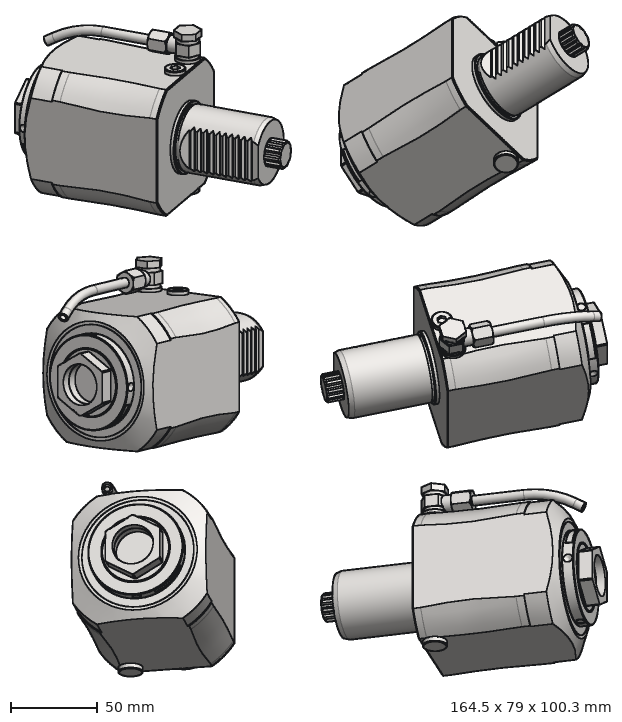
import cadquery as cq
import math


TOTAL_LENGTH = 164.5
HEX_HALF_STEP = 30

BLOCK_SIDE = 79.0
BLOCK_FRONT_X = 14.8
BLOCK_REAR_X = 101.2
NOSE_RADIUS = 34.9
CONE_END_X = 21.0
LAND_RADIUS = 46.9
LAND_END_X = 34.4
CORNER_RADIUS = 47.4
WAIST_RADIUS = 46.5
WAIST_START_X = 39.3
WAIST_END_X = 96.2
REAR_CHAMFER = 0.7
SEAT_RADIUS = 32.9
SEAT_DEPTH = 0.3
TOP_Z = BLOCK_SIDE / 2

FLANGE_RADIUS = 21.5
FLANGE_END_X = 103.6
FLANGE_CHAMFER = 0.5
RELIEF_RADIUS = 19.5
RELIEF_END_X = 105.1
SHANK_RADIUS = 20.0
SHANK_END_X = 154.5
SHANK_TAPER_LENGTH = 3.1
SHANK_TAPER_DEPTH = 1.0

FLAT_OFFSET = 16.1
FLAT_START_X = 110.5
TOOTH_GROOVES = 10
FIRST_GROOVE_X = 113.2
LAST_GROOVE_X = 149.2
TOOTH_PITCH = (LAST_GROOVE_X - FIRST_GROOVE_X) / (TOOTH_GROOVES - 1)
GROOVE_DEPTH = 1.5
GROOVE_HALF_WIDTH = 1.4

TOP_PLUG_X = 94.3
TOP_PLUG_RADIUS = 6.1
TOP_PLUG_HEIGHT = 2.6
SOCKET_FLATS = 5.0
SOCKET_DEPTH = 2.0
BOTTOM_PLUG_RADIUS = 7.0
BOTTOM_PLUG_HEIGHT = 3.1
PLUG_CHAMFER = 0.5

HEX_FLATS = 32.0
HEX_TURNED_RADIUS = 18.3
COLLAR_FRONT_X = 8.0
COLLAR_RADIUS = 28.0
COLLAR_CHAMFER = 0.5
COLLAR_MID_X = (COLLAR_FRONT_X + BLOCK_FRONT_X) / 2
RING_GROOVE_RADIUS = 20.2
RING_GROOVE_WIDTH = 0.7
RING_GROOVE_DEPTH = 0.5
MOUTH_RADIUS = 12.0
MOUTH_DEPTH = 5.3
NOSE_BORE_RADIUS = 11.8
NOSE_BORE_DEPTH = 11.0
SPOT_RADIUS = 2.6
CONE_SPOT_DEPTH = 1.5
FLAT_SPOT_DEPTH = 0.5
RIM_GROOVE_RADIUS = 27.5
RIM_GROOVE_WIDTH = 4.0
RIM_GROOVE_ANGLE = 44.0
SHAFT_RADIUS = 8.4
SPLINE_ROOT_RADIUS = 7.0
SPLINE_TEETH = 10
SPLINE_GAP_WIDTH = 4.0
SPLINE_FLOOR_WIDTH = 1.3
SPLINE_CHAMFER = 1.0

FITTING_X = 93.0
FITTING_Y = 20.0
FITTING_FLATS = 14.0
FITTING_TOP_Z = 57.7
CAP_BOTTOM_Z = 53.5
BANJO_TOP_Z = 51.0
BANJO_BOTTOM_Z = 43.6
NECK_RADIUS = 6.7
FOOT_RADIUS = 7.4
FOOT_HEIGHT = 2.0
TUBE_Z = 47.2
STUB_RADIUS = 5.1
NUT_FLATS = 12.0
NUT_FRONT_X = 70.0
NUT_REAR_X = 82.0
NUT_CHAMFER_RADIUS = 6.1
TUBE_RADIUS = 3.0
TUBE_BORE_RADIUS = 1.8
BEND_START_X = 39.3
BEND_RADIUS = 56.3
BEND_ANGLE = 31.4
BEND_TILT = 21.2
TIP_LENGTH = 5.6


def hex_corner_diameter(flats):
    """Across-corners size of a hexagon given across its flats."""
    return flats / math.cos(math.pi / 6)


def cylinder_x(radius, start, end):
    return cq.Workplane("YZ", origin=(start, 0, 0)).circle(radius).extrude(end - start)


def cylinder_z(radius, x, y, start, end):
    return cq.Workplane("XY", origin=(x, y, start)).circle(radius).extrude(end - start)


def hex_z(flats, x, y, start, end, turn):
    """Upright hexagonal prism; turn = 0 puts a corner on the X direction."""
    prism = cq.Workplane("XY").polygon(6, hex_corner_diameter(flats)).extrude(end - start)
    return prism.rotate((0, 0, 0), (0, 0, 1), turn).translate((x, y, start))


def revolve_x(profile):
    """Turn a closed X-radius outline about the X axis."""
    return profile.revolve(360, (0, 0, 0), (1, 0, 0))


def make_block():
    turned = revolve_x(
        cq.Workplane("XY")
        .moveTo(BLOCK_FRONT_X, 0)
        .lineTo(BLOCK_FRONT_X, NOSE_RADIUS)
        .lineTo(CONE_END_X, LAND_RADIUS)
        .lineTo(LAND_END_X, LAND_RADIUS)
        .lineTo(LAND_END_X, CORNER_RADIUS)
        .lineTo(WAIST_START_X, CORNER_RADIUS)
        .threePointArc(((WAIST_START_X + WAIST_END_X) / 2, WAIST_RADIUS), (WAIST_END_X, CORNER_RADIUS))
        .lineTo(BLOCK_REAR_X, CORNER_RADIUS)
        .lineTo(BLOCK_REAR_X, 0)
        .close()
    )
    bar = (
        cq.Workplane("YZ", origin=(BLOCK_FRONT_X, 0, 0))
        .rect(BLOCK_SIDE, BLOCK_SIDE)
        .extrude(BLOCK_REAR_X - BLOCK_FRONT_X)
    )
    block = bar.intersect(turned).faces(">X").edges().chamfer(REAR_CHAMFER)
    return block.cut(cylinder_x(SEAT_RADIUS, BLOCK_FRONT_X, BLOCK_FRONT_X + SEAT_DEPTH))


def make_shank():
    shank = revolve_x(
        cq.Workplane("XY")
        .moveTo(BLOCK_REAR_X, 0)
        .lineTo(BLOCK_REAR_X, FLANGE_RADIUS)
        .lineTo(FLANGE_END_X - FLANGE_CHAMFER, FLANGE_RADIUS)
        .lineTo(FLANGE_END_X, FLANGE_RADIUS - FLANGE_CHAMFER)
        .lineTo(FLANGE_END_X, RELIEF_RADIUS)
        .lineTo(RELIEF_END_X, SHANK_RADIUS)
        .lineTo(SHANK_END_X - SHANK_TAPER_LENGTH, SHANK_RADIUS)
        .lineTo(SHANK_END_X, SHANK_RADIUS - SHANK_TAPER_DEPTH)
        .lineTo(SHANK_END_X, 0)
        .close()
    )
    return shank.cut(make_serration_cutter())


def make_serration_cutter():
    """Everything beyond the serrated flat: a 45-degree run-in, then the V grooves."""
    ramp = SHANK_RADIUS - FLAT_OFFSET
    outline = (
        cq.Workplane("XY")
        .moveTo(FLAT_START_X - ramp, -SHANK_RADIUS)
        .lineTo(FLAT_START_X, -FLAT_OFFSET)
    )
    for index in range(TOOTH_GROOVES):
        groove_x = FIRST_GROOVE_X + index * TOOTH_PITCH
        outline = (
            outline.lineTo(groove_x - GROOVE_HALF_WIDTH, -FLAT_OFFSET)
            .lineTo(groove_x, -FLAT_OFFSET + GROOVE_DEPTH)
            .lineTo(groove_x + GROOVE_HALF_WIDTH, -FLAT_OFFSET)
        )
    outline = outline.lineTo(SHANK_END_X, -FLAT_OFFSET).lineTo(SHANK_END_X, -SHANK_RADIUS).close()
    return outline.extrude(SHANK_RADIUS, both=True)


def make_top_plug():
    top = TOP_Z + TOP_PLUG_HEIGHT
    plug = cylinder_z(TOP_PLUG_RADIUS, TOP_PLUG_X, 0, TOP_Z, top).faces(">Z").edges().chamfer(PLUG_CHAMFER)
    return plug.cut(hex_z(SOCKET_FLATS, TOP_PLUG_X, 0, top - SOCKET_DEPTH, top, HEX_HALF_STEP))


def make_bottom_plug():
    plug = cylinder_z(BOTTOM_PLUG_RADIUS, FITTING_X, FITTING_Y, -TOP_Z - BOTTOM_PLUG_HEIGHT, -TOP_Z)
    return plug.faces("<Z").edges().chamfer(PLUG_CHAMFER)


def make_housing():
    solid = make_block().union(make_shank()).union(make_top_plug()).union(make_bottom_plug())
    return solid.cut(cylinder_x(SHAFT_RADIUS, BLOCK_FRONT_X, SHANK_END_X))


def make_hex_nose():
    """Hexagon with two flats facing +Y and -Y and its corners turned off."""
    prism = (
        cq.Workplane("YZ")
        .polygon(6, hex_corner_diameter(HEX_FLATS))
        .extrude(COLLAR_FRONT_X)
        .rotate((0, 0, 0), (1, 0, 0), HEX_HALF_STEP)
    )
    return prism.intersect(cylinder_x(HEX_TURNED_RADIUS, 0, COLLAR_FRONT_X))


def make_collar():
    """Collar with spots on its four sides and two rim grooves between them, repeated half a turn apart."""
    collar = cylinder_x(COLLAR_RADIUS, COLLAR_FRONT_X, BLOCK_FRONT_X + SEAT_DEPTH)
    collar = collar.edges().chamfer(COLLAR_CHAMFER)
    groove = (
        cq.Workplane("YZ", origin=(COLLAR_FRONT_X, 0, 0))
        .circle(RING_GROOVE_RADIUS)
        .circle(RING_GROOVE_RADIUS - RING_GROOVE_WIDTH)
        .extrude(RING_GROOVE_DEPTH)
    )
    collar = collar.cut(groove)
    for side in (0, 180):
        collar = collar.cut(make_flat_spot().rotate((0, 0, 0), (1, 0, 0), side))
        collar = collar.cut(make_cone_spot().rotate((0, 0, 0), (1, 0, 0), side + 90))
        collar = collar.cut(make_rim_groove().rotate((0, 0, 0), (1, 0, 0), side - 45))
    return collar


def make_flat_spot():
    """Shallow round spot, cut radially at the +Z side of the rim."""
    return cylinder_z(SPOT_RADIUS, COLLAR_MID_X, 0, COLLAR_RADIUS - FLAT_SPOT_DEPTH, COLLAR_RADIUS)


def make_cone_spot():
    """Conical spot, cut radially at the +Z side of the rim."""
    profile = (
        cq.Workplane("XZ", origin=(COLLAR_MID_X, 0, COLLAR_RADIUS))
        .lineTo(SPOT_RADIUS, 0)
        .lineTo(0, -CONE_SPOT_DEPTH)
        .close()
    )
    return profile.revolve(360, (0, 0, 0), (0, 1, 0))


def make_rim_groove():
    """Groove with a floor concentric with the rim, centred on the +Z side."""
    half_angle = math.radians(RIM_GROOVE_ANGLE / 2)
    outer = 2 * COLLAR_RADIUS
    sector = (
        cq.Workplane("YZ", origin=(COLLAR_MID_X, 0, 0))
        .lineTo(-outer * math.sin(half_angle), outer * math.cos(half_angle))
        .lineTo(outer * math.sin(half_angle), outer * math.cos(half_angle))
        .close()
        .extrude(RIM_GROOVE_WIDTH / 2, both=True)
    )
    return sector.cut(cylinder_x(RIM_GROOVE_RADIUS, COLLAR_FRONT_X, BLOCK_FRONT_X))


def make_splined_shaft():
    shaft = cylinder_x(SHAFT_RADIUS, BLOCK_FRONT_X, TOTAL_LENGTH).faces(">X").edges().chamfer(SPLINE_CHAMFER)
    gap = (
        cq.Workplane("YZ", origin=(SHANK_END_X, 0, 0))
        .moveTo(-SPLINE_FLOOR_WIDTH / 2, SPLINE_ROOT_RADIUS)
        .lineTo(SPLINE_FLOOR_WIDTH / 2, SPLINE_ROOT_RADIUS)
        .lineTo(SPLINE_GAP_WIDTH / 2, SHAFT_RADIUS)
        .lineTo(-SPLINE_GAP_WIDTH / 2, SHAFT_RADIUS)
        .close()
        .extrude(TOTAL_LENGTH - SHANK_END_X)
    )
    for index in range(SPLINE_TEETH):
        shaft = shaft.cut(gap.rotate((0, 0, 0), (1, 0, 0), index * 360 / SPLINE_TEETH))
    return shaft


def make_spindle():
    solid = make_collar().union(make_hex_nose()).union(make_splined_shaft())
    mouth = cylinder_x(MOUTH_RADIUS, 0, MOUTH_DEPTH)
    return solid.cut(mouth).cut(cylinder_x(NOSE_BORE_RADIUS, 0, NOSE_BORE_DEPTH))


def make_fitting():
    """Hollow-bolt cap, hexagonal banjo and round foot standing on the block."""
    neck = cylinder_z(NECK_RADIUS, FITTING_X, FITTING_Y, TOP_Z, CAP_BOTTOM_Z)
    foot = cylinder_z(FOOT_RADIUS, FITTING_X, FITTING_Y, TOP_Z, TOP_Z + FOOT_HEIGHT)
    banjo = hex_z(FITTING_FLATS, FITTING_X, FITTING_Y, BANJO_BOTTOM_Z, BANJO_TOP_Z, 0)
    cap = hex_z(FITTING_FLATS, FITTING_X, FITTING_Y, CAP_BOTTOM_Z, FITTING_TOP_Z, HEX_HALF_STEP)
    return neck.union(foot).union(banjo).union(cap)


def make_tube_nut():
    """Hexagonal nut on the tube, with both ends turned to a 45-degree chamfer."""
    corner_radius = hex_corner_diameter(NUT_FLATS) / 2
    chamfer_length = corner_radius - NUT_CHAMFER_RADIUS
    prism = (
        cq.Workplane("YZ", origin=(NUT_FRONT_X, 0, 0))
        .polygon(6, 2 * corner_radius)
        .extrude(NUT_REAR_X - NUT_FRONT_X)
        .rotate((0, 0, 0), (1, 0, 0), HEX_HALF_STEP)
    )
    envelope = cylinder_x(corner_radius, NUT_FRONT_X, NUT_REAR_X).edges().chamfer(chamfer_length)
    return prism.intersect(envelope)


def make_tube():
    """Tube with a downward bend and a straight bored tip, the bend plane tilted toward -Y."""
    angle = math.radians(BEND_ANGLE)
    bend_point = (
        BEND_START_X - BEND_RADIUS * math.sin(angle / 2),
        -BEND_RADIUS * (1 - math.cos(angle / 2)),
    )
    bend_end = (
        BEND_START_X - BEND_RADIUS * math.sin(angle),
        -BEND_RADIUS * (1 - math.cos(angle)),
    )
    tip = (bend_end[0] - TIP_LENGTH * math.cos(angle), bend_end[1] - TIP_LENGTH * math.sin(angle))
    path = (
        cq.Workplane("XZ")
        .moveTo(NUT_FRONT_X, 0)
        .lineTo(BEND_START_X, 0)
        .threePointArc(bend_point, bend_end)
        .lineTo(*tip)
    )
    tube = cq.Workplane("YZ", origin=(NUT_FRONT_X, 0, 0)).circle(TUBE_RADIUS).sweep(path)
    inward = cq.Plane(
        origin=(tip[0], 0, tip[1]),
        xDir=(0, 1, 0),
        normal=(math.cos(angle), 0, math.sin(angle)),
    )
    tube = tube.cut(cq.Workplane(inward).circle(TUBE_BORE_RADIUS).extrude(TIP_LENGTH))
    return tube.rotate((0, 0, 0), (1, 0, 0), -BEND_TILT)


def make_coolant_line():
    stub = cylinder_x(STUB_RADIUS, NUT_REAR_X, FITTING_X)
    line = make_tube().union(make_tube_nut()).union(stub)
    return make_fitting().union(line.translate((0, FITTING_Y, TUBE_Z)))


housing = make_housing()
spindle = make_spindle()
coolant_line = make_coolant_line()

result = cq.Compound.makeCompound([housing.val(), spindle.val(), coolant_line.val()])